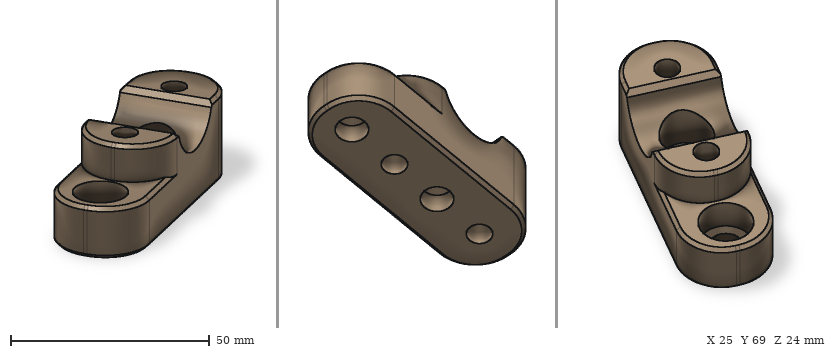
import cadquery as cq
import math

width = 25.0
length = 69.0
height = 24.0
pad_height = 14.0
block_length = 51.0
corner_radius = 12.0
edge_chamfer = 1.05

saddle_radius = 11.0
saddle_floor = 15.0
saddle_chamfer_half_width = 11.95
saddle_chamfer_bottom_half_width = 10.4

hole_pitch = 32.0
saddle_from_back = 27.0
small_hole_diameter = 6.6
bolt_hole_diameter = 8.4
counterbore_diameter = 14.0
counterbore_floor = 6.0

back_y = length / 2
saddle_y = back_y - saddle_from_back
small_hole_ys = [saddle_y + hole_pitch / 2, saddle_y - hole_pitch / 2]
bolt_hole_ys = [saddle_y, saddle_y - hole_pitch]


def rounded_bar(bar_length, bar_height):
    """Bar from the back end, with rounded corners and chamfered top and bottom rims."""
    return (
        cq.Workplane("XY")
        .center(0, back_y - bar_length / 2)
        .rect(width, bar_length)
        .extrude(bar_height)
        .edges("|Z")
        .fillet(corner_radius)
        .faces("<Z or >Z")
        .chamfer(edge_chamfer)
    )


def saddle():
    """Cylindrical trough with bevelled lips, as a cutter."""
    axis_z = saddle_floor + saddle_radius
    lip_z = axis_z - math.sqrt(saddle_radius**2 - saddle_chamfer_bottom_half_width**2)
    trough = (
        cq.Workplane("YZ")
        .center(saddle_y, axis_z)
        .circle(saddle_radius)
        .extrude(width / 2, both=True)
    )
    lips = (
        cq.Workplane("YZ")
        .polyline([
            (saddle_y - saddle_chamfer_bottom_half_width, lip_z),
            (saddle_y + saddle_chamfer_bottom_half_width, lip_z),
            (saddle_y + saddle_chamfer_half_width, height),
            (saddle_y - saddle_chamfer_half_width, height),
        ])
        .close()
        .extrude(width / 2, both=True)
    )
    return trough.union(lips)


def vertical_holes(ys, diameter, bottom):
    """Round cutters along the centre line, from the given level up past the top."""
    return (
        cq.Workplane("XY", origin=(0, 0, bottom))
        .pushPoints([(0, y) for y in ys])
        .circle(diameter / 2)
        .extrude(height)
    )


result = rounded_bar(length, pad_height).union(rounded_bar(block_length, height))
result = result.cut(saddle())
result = result.cut(vertical_holes(small_hole_ys, small_hole_diameter, 0))
result = result.cut(vertical_holes(bolt_hole_ys, bolt_hole_diameter, 0))
result = result.cut(vertical_holes(bolt_hole_ys, counterbore_diameter, counterbore_floor))